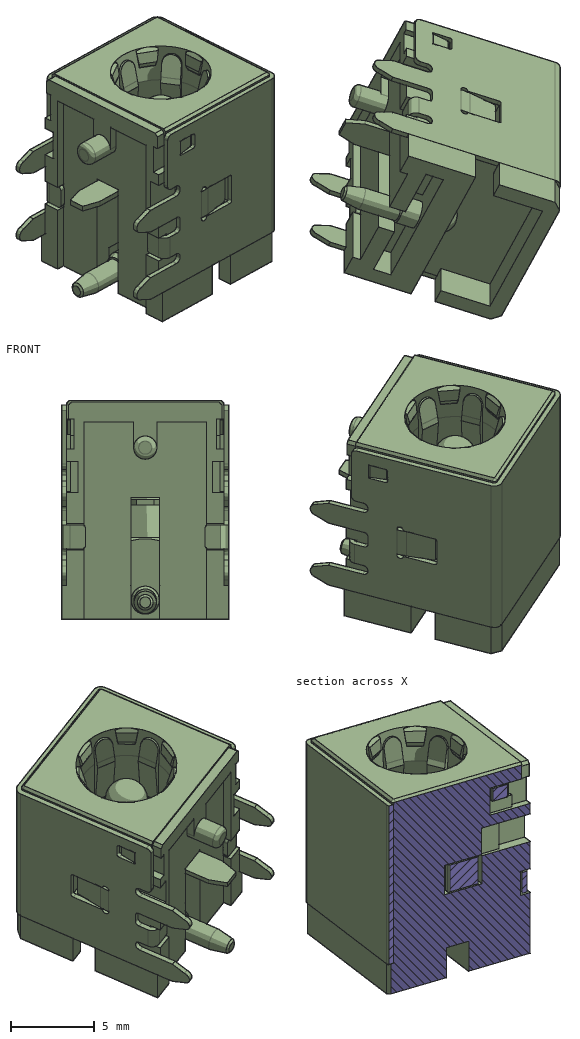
import cadquery as cq
import math


width = 10.0
height = 13.1
back_y = 4.9
front_y = -5.1
tip_y = back_y - 12.2

sheet = 0.3
bend_radius = 0.5
shield_bottom = 2.03
shield_top = 12.82
shield_front = -4.64
half_width = width / 2
inner_half = half_width - sheet
inner_back = back_y - sheet
inner_radius = bend_radius - sheet
edge_radius = 0.33

leg_height = 1.52
leg_bottoms = (shield_bottom, 6.76)
leg_taper_y = tip_y + 1.18
leg_nose_y = tip_y + 0.35
leg_nose_half = 0.42

clip_bottom = 4.22
clip_top = 5.66
clip_inner_x = 3.58
clip_front = -4.91
clip_bend_y = clip_front + bend_radius
clip_corner = 0.2

relief_y = -3.56
upper_relief_top = 8.97
relief_radius = 0.31
wide_relief_radius = 0.25

column_x = 3.65
panel_y = front_y + 0.5
panel_top = 11.82
lip_back_y = -4.5
lip_half = 4.58
lip_bottom = 10.55
lip_chamfer = 0.18
lip_drop = 0.1
top_chamfer = 0.16
base_chamfer = 0.5
base_gap_back = 0.79
base_gap_front = -0.76
base_wall = 0.93
front_cell_y = -3.58
clip_clearance = 0.08
pocket_step_x = 4.48
upper_pocket_x = 4.25
upper_pocket_bottom = 10.19
upper_pocket_back = -3.93
upper_pocket_ledge = 0.26
lower_pocket_x = 4.03
lower_pocket_back = -3.0
lower_pocket_bottom = 7.6
lower_pocket_top = 9.45
lance_pocket_x = 4.13

rim_radius = 3.01
wall_radius = 2.85
cone_depth = 2.27
floor_depth = 5.2
platform_radius = 2.5
platform_bevel = 0.3
rib_count = 6
rib_half_width = 0.6
rib_top_depth = 0.45
rib_top_radius = 2.84
rib_knee_radius = 2.5
rib_knee_depth = 1.9
rib_foot_radius = 2.41
rib_base_radius = 2.7
tab_depth = 1.28
tab_lead_radius = 2.82
tab_lead_depth = 0.24
tab_nose_radius = 2.7
tab_nose_depth = 0.93
tab_back_radius = 3.15
tab_top_half = 0.71
tab_bottom_half = 0.5

pin_radius = 1.27
pin_tip_depth = 1.8
tail_radius = 0.67
tail_z = 1.02
tail_bend = 0.88
tail_bend_y = -1.45
tail_cone_y = tip_y + 1.2
tail_end_radius = 0.45
tail_round = 0.12
collar_radius = 0.84
collar_z = 1.15
collar_cone_y = -3.6
collar_end_y = -3.93

slot_half = 0.86
slot_top = 7.3
step_y = -2.46
step_z = 4.9
bevel_radius = 2.37
bevel_reach = 0.39
bevel_drop = 0.33
blade_bottom = 6.85
blade_top = 7.18
blade_tip_half = 0.51
blade_taper_y = tip_y + 1.11

peg_radius = 0.7
peg_z = 10.27
peg_tip_y = -6.67
peg_round = 0.3

small_lance = dict(root=-3.52, free=-2.45, window=-2.28, bottom=10.99, top=11.99, travel=0.21, flat=0.07)
large_lance = dict(root=-1.69, free=0.67, window=0.9, bottom=5.7, top=7.65, travel=0.34, flat=0.6)
lance_gap = 0.05
window_corner = 0.16
root_hole_radius = 0.21


def block(x0, x1, y0, y1, z0, z1):
    """Box between two corners."""
    return cq.Workplane("XY").box(x1 - x0, y1 - y0, z1 - z0, centered=False).translate((x0, y0, z0))


def both_sides(shape):
    """A shape on the +X side together with its mirror image."""
    return shape.union(shape.mirror("YZ"))


def along_y(radius, y0, y1, z):
    """Cylinder along Y between two stations."""
    return cq.Workplane("XZ", origin=(0, y1, z)).circle(radius).extrude(y1 - y0)


def cone_along_y(radius0, y0, radius1, y1, z):
    """Cone along -Y, from radius0 at y0 to radius1 at y1."""
    return (
        cq.Workplane("XZ", origin=(0, y0, z)).circle(radius0)
        .workplane(offset=y0 - y1).circle(radius1).loft()
    )


def solder_leg(bottom):
    """Flat leg with a tapered, rounded tip, as thick as the full width."""
    middle = bottom + leg_height / 2
    top = bottom + leg_height
    return (
        cq.Workplane("YZ", origin=(-half_width, 0, 0))
        .moveTo(relief_y, bottom)
        .lineTo(leg_taper_y, bottom)
        .lineTo(leg_nose_y, middle - leg_nose_half)
        .threePointArc((tip_y, middle), (leg_nose_y, middle + leg_nose_half))
        .lineTo(leg_taper_y, top)
        .lineTo(relief_y, top)
        .close()
        .extrude(width)
    )


def relief_slot(bottom, top, radius):
    """Slot open to the front, with rounded corners at its closed end."""
    slot = block(-half_width, half_width, shield_front - sheet, relief_y, bottom, top)
    return slot.edges("|X and >Y").fillet(radius)


def clip():
    """Strip on the +X side that bends around the front corner of the housing."""
    strip = (
        cq.Workplane("XY", origin=(0, 0, clip_bottom))
        .moveTo(half_width, relief_y)
        .lineTo(half_width, clip_bend_y)
        .radiusArc((half_width - bend_radius, clip_front), bend_radius)
        .lineTo(clip_inner_x, clip_front)
        .lineTo(clip_inner_x, clip_front + sheet)
        .lineTo(half_width - bend_radius, clip_front + sheet)
        .radiusArc((inner_half, clip_bend_y), -inner_radius)
        .lineTo(inner_half, relief_y)
        .close()
        .extrude(clip_top - clip_bottom)
    )
    return strip.edges("|Y and <X").fillet(clip_corner)


def lance_window(lance):
    """Window around a lance on the +X side."""
    window = block(inner_half, half_width, lance["root"], lance["window"], lance["bottom"], lance["top"])
    return window.edges("|X and >Y").fillet(window_corner)


def root_holes(lance):
    """Round reliefs at the two root corners of a lance."""
    return (
        cq.Workplane("YZ", origin=(inner_half, 0, 0))
        .pushPoints([(lance["root"] + root_hole_radius, z) for z in (lance["bottom"], lance["top"])])
        .circle(root_hole_radius)
        .extrude(sheet)
    )


def lance_tongue(lance):
    """Tongue on the +X side that leans inward toward its free end."""
    knee_y = lance["root"] + lance["flat"]
    free_x = half_width - lance["travel"]
    return (
        cq.Workplane("XY", origin=(0, 0, lance["bottom"] + lance_gap))
        .polyline([
            (half_width, lance["root"]),
            (half_width - lance_gap, knee_y),
            (free_x, lance["free"]),
            (free_x - sheet, lance["free"]),
            (inner_half - lance_gap, knee_y),
            (inner_half, lance["root"]),
        ])
        .close()
        .extrude(lance["top"] - lance["bottom"] - 2 * lance_gap)
    )


def make_shield():
    upper = block(-half_width, half_width, shield_front, back_y, upper_relief_top, shield_top)
    upper = upper.edges("|X and <Y").fillet(edge_radius)
    lower = block(-half_width, half_width, clip_bend_y, back_y, shield_bottom, upper_relief_top)
    outline = upper.union(lower)
    lower_leg, upper_leg = leg_bottoms
    outline = outline.cut(relief_slot(lower_leg + leg_height, clip_bottom, relief_radius))
    outline = outline.cut(relief_slot(clip_top, upper_leg, wide_relief_radius))
    outline = outline.cut(relief_slot(upper_leg + leg_height, upper_relief_top, relief_radius))
    for bottom in leg_bottoms:
        outline = outline.union(solder_leg(bottom))

    channel = block(-half_width, half_width, tip_y, back_y, shield_bottom, shield_top)
    channel = channel.edges("|Z and >Y").fillet(bend_radius)
    inside = block(-inner_half, inner_half, tip_y, inner_back, shield_bottom, shield_top)
    channel = channel.cut(inside.edges("|Z and >Y").fillet(inner_radius))
    shield = outline.intersect(channel).union(both_sides(clip()))

    shield = shield.cut(both_sides(root_holes(large_lance)))
    for lance in (small_lance, large_lance):
        shield = shield.cut(both_sides(lance_window(lance)))
        shield = shield.union(both_sides(lance_tongue(lance)))
    return shield


def housing_block():
    """Outer block with its wider, hollow base, front lip and recessed front panel."""
    body = block(-inner_half, inner_half, front_y, inner_back, 0, height)
    body = body.edges("|Z and >Y").fillet(inner_radius)
    body = body.edges(">Z and (not <Y)").chamfer(top_chamfer)
    body = body.cut(block(-half_width, half_width, front_y, lip_back_y, height - lip_drop, height))
    lip_space = block(-half_width, half_width, front_y, lip_back_y, lip_bottom, height)
    lip = block(-lip_half, lip_half, front_y, lip_back_y, lip_bottom, height - lip_drop)
    body = body.cut(lip_space.cut(lip.edges("|Y and >Z").chamfer(lip_chamfer)))

    base = block(-half_width, half_width, front_y, back_y, 0, shield_bottom)
    body = body.union(base.edges("|Z and >Y").chamfer(base_chamfer))
    body = body.cut(block(-half_width, half_width, base_gap_front, base_gap_back, 0, shield_bottom))
    cell_half = half_width - base_wall
    body = body.cut(block(-cell_half, cell_half, base_gap_front, back_y - base_wall, 0, shield_bottom))
    body = body.cut(block(-cell_half, cell_half, front_cell_y, step_y, 0, shield_bottom))
    panel = block(-column_x, column_x, front_y, panel_y, 0, panel_top)
    tongue = block(-peg_radius, peg_radius, front_y, panel_y, peg_z, panel_top)
    return body.cut(panel.cut(tongue))


def side_pockets():
    """Pockets on the +X side that clear the clip and the lances."""
    pockets = block(column_x, half_width, front_y, clip_bend_y, clip_bottom - clip_clearance,
                    clip_top + clip_clearance)
    for x, back in ((upper_pocket_x, upper_pocket_back), (pocket_step_x, small_lance["window"])):
        pockets = pockets.union(block(x, inner_half, front_y, back, upper_pocket_bottom, small_lance["top"]))
    pockets = pockets.union(block(upper_pocket_x, inner_half, upper_pocket_back,
                                  upper_pocket_back + upper_pocket_ledge,
                                  small_lance["bottom"], small_lance["top"]))
    for x, back in ((lower_pocket_x, lower_pocket_back), (pocket_step_x, large_lance["root"])):
        pockets = pockets.union(block(x, inner_half, front_y, back, lower_pocket_bottom, lower_pocket_top))
    return pockets.union(block(lance_pocket_x, inner_half, large_lance["root"], large_lance["window"],
                               large_lance["bottom"], large_lance["top"]))


def socket_cavity():
    """Slightly conical socket whose floor is a platform with a bevelled edge."""
    floor_z = height - floor_depth
    return (
        cq.Workplane("XZ")
        .moveTo(0, floor_z)
        .lineTo(platform_radius, floor_z)
        .lineTo(wall_radius, floor_z - platform_bevel)
        .lineTo(wall_radius, height - cone_depth)
        .lineTo(rim_radius, height)
        .lineTo(0, height)
        .close()
        .revolve(360, (0, 0, 0), (0, 1, 0))
    )


def socket_rib():
    """Round-topped rib on the +X side of the socket wall."""
    floor_z = height - floor_depth - platform_bevel
    wedge = (
        cq.Workplane("XZ", origin=(0, rib_half_width, 0))
        .polyline([
            (rim_radius, height - rib_top_depth),
            (rib_top_radius, height - rib_top_depth),
            (rib_knee_radius, height - rib_knee_depth),
            (rib_foot_radius, height - cone_depth),
            (rib_base_radius, floor_z),
            (rim_radius, floor_z),
        ])
        .close()
        .extrude(2 * rib_half_width)
    )
    arch_z = height - rib_top_depth - rib_half_width
    arch = (
        cq.Workplane("YZ")
        .moveTo(-rib_half_width, floor_z)
        .lineTo(-rib_half_width, arch_z)
        .threePointArc((0, height - rib_top_depth), (rib_half_width, arch_z))
        .lineTo(rib_half_width, floor_z)
        .close()
        .extrude(rim_radius)
    )
    return wedge.intersect(arch)


def socket_tab():
    """Tapered tab at the rim on the +X side of the socket wall."""
    bottom = height - tab_depth
    profile = (
        cq.Workplane("XZ", origin=(0, tab_top_half, 0))
        .polyline([
            (tab_back_radius, height),
            (rim_radius, height),
            (tab_lead_radius, height - tab_lead_depth),
            (tab_nose_radius, height - tab_nose_depth),
            (wall_radius, bottom),
            (tab_back_radius, bottom),
        ])
        .close()
        .extrude(2 * tab_top_half)
    )
    outline = (
        cq.Workplane("YZ")
        .polyline([
            (-tab_top_half, height),
            (-tab_bottom_half, bottom),
            (tab_bottom_half, bottom),
            (tab_top_half, height),
        ])
        .close()
        .extrude(tab_back_radius)
    )
    return profile.intersect(outline)


def center_pin():
    """Upright pin with a hemispherical tip, standing on the slot step."""
    straight_top = height - pin_tip_depth - pin_radius
    return (
        cq.Workplane("XY", origin=(0, 0, step_z))
        .circle(pin_radius).extrude(straight_top - step_z)
        .union(cq.Workplane("XY").sphere(pin_radius).translate((0, 0, straight_top)))
    )


def pin_tail():
    """Tail of the pin: it comes down, bends forward and ends in a cone."""
    drop_y = tail_bend_y + tail_bend
    bend_z = tail_z + tail_bend
    middle = tail_bend * math.sqrt(0.5)
    path = (
        cq.Workplane("YZ")
        .moveTo(drop_y, step_z)
        .lineTo(drop_y, bend_z)
        .threePointArc((tail_bend_y + middle, bend_z - middle), (tail_bend_y, tail_z))
        .lineTo(tail_cone_y, tail_z)
    )
    rod = cq.Workplane("XY", origin=(0, drop_y, step_z)).circle(tail_radius).sweep(path)
    tip = cone_along_y(tail_radius, tail_cone_y, tail_end_radius, tip_y, tail_z)
    tip = tip.faces("<Y").chamfer(tail_round)
    collar = along_y(collar_radius, collar_cone_y, step_y, collar_z)
    collar_cone = cone_along_y(collar_radius, collar_cone_y, tail_radius, collar_end_y, collar_z)
    return rod.union(tip).union(collar).union(collar_cone)


def contact_slot():
    """Slot in the front panel; its lower part is closed by a bevelled step."""
    deep = block(-slot_half, slot_half, front_y, 0, step_z, slot_top)
    shallow = block(-slot_half, slot_half, front_y, step_y, 0, step_z)
    bevel = (
        cq.Workplane("XZ")
        .polyline([
            (bevel_radius, step_z),
            (bevel_radius + bevel_reach, step_z),
            (bevel_radius + bevel_reach, step_z - bevel_drop),
        ])
        .close()
        .revolve(360, (0, 0, 0), (0, 1, 0))
    )
    slot_column = block(-slot_half, slot_half, front_y, 0, 0, slot_top)
    return deep.union(shallow).union(bevel.intersect(slot_column))


def blade():
    """Flat contact with a tapered tip, lying across the slot."""
    return (
        cq.Workplane("XY", origin=(0, 0, blade_bottom))
        .polyline([
            (-slot_half, 0),
            (-slot_half, blade_taper_y),
            (-blade_tip_half, tip_y),
            (blade_tip_half, tip_y),
            (slot_half, blade_taper_y),
            (slot_half, 0),
        ])
        .close()
        .extrude(blade_top - blade_bottom)
    )


def locating_peg():
    """Round peg with a rounded tip on the front panel."""
    peg = along_y(peg_radius, peg_tip_y, panel_y, peg_z)
    return peg.faces("<Y").fillet(peg_round)


def make_housing():
    housing = housing_block()
    housing = housing.cut(both_sides(side_pockets()))
    housing = housing.cut(socket_cavity())
    for index in range(rib_count):
        rib_angle = index * 360 / rib_count
        tab_angle = rib_angle + 180 / rib_count
        housing = housing.union(socket_rib().rotate((0, 0, 0), (0, 0, 1), rib_angle))
        housing = housing.union(socket_tab().rotate((0, 0, 0), (0, 0, 1), tab_angle))
    housing = housing.cut(contact_slot())
    for part in (center_pin(), pin_tail(), blade(), locating_peg()):
        housing = housing.union(part)
    return housing


shield = make_shield()
housing = make_housing()

result = cq.Compound.makeCompound([shield.solids().val(), housing.solids().val()])